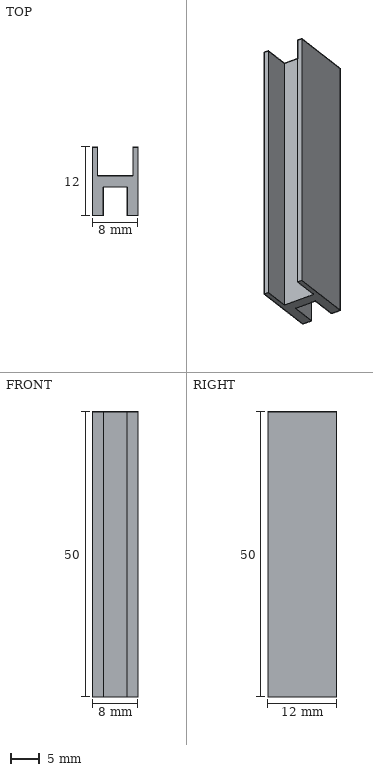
import cadquery as cq

width = 8.0
depth = 12.0
length = 50.0

web_thickness = 2.0
front_wall = 1.9
back_wall = 0.9

channel_depth = (depth - web_thickness) / 2
channel_offset = (web_thickness + channel_depth) / 2


def channel(wall, y_center):
    """Full-length channel that leaves the given wall on each side."""
    return (
        cq.Workplane("XY")
        .center(0, y_center)
        .rect(width - 2 * wall, channel_depth)
        .extrude(length)
    )


bar = cq.Workplane("XY").rect(width, depth).extrude(length)
front_channel = channel(front_wall, -channel_offset)
back_channel = channel(back_wall, channel_offset)

result = bar.cut(front_channel).cut(back_channel)